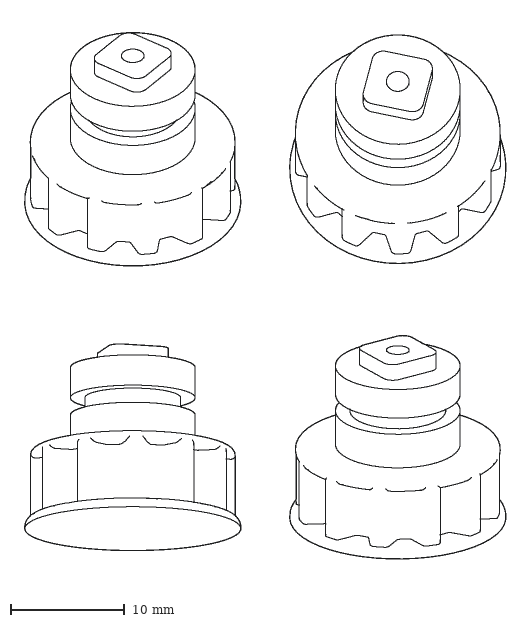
import cadquery as cq
import math

flange_radius = 9.5
flange_height = 0.93
flange_round = 0.76

grip_radius = 9.0
grip_top = 7.01
rim_height = 0.91
rim_round = 0.45

flute_count = 12
flute_floor_radius = 7.18
flute_floor_width = 1.14
flute_wall_angle = 30.0
flute_floor_round = 0.27
flute_mouth_round = 0.4
flute_top = grip_top - rim_height

collar_radius = 5.5
groove_radius = 4.22
groove_bottom = 10.2
groove_top = 11.75
collar_top = 14.45

total_height = 15.95
drive_side = 5.4
drive_corner_round = 0.99
hole_diameter = 2.0
hole_depth = 2 * hole_diameter

tolerance = 0.002


def cylinder(radius, bottom, top):
    """Upright cylinder on the Z axis between two heights."""
    return cq.Workplane("XY").workplane(offset=bottom).circle(radius).extrude(top - bottom)


def make_flute():
    """Cutter for the flute on the +X side, reaching past the grip surface."""
    mouth_radius = flange_radius
    floor_half = flute_floor_width / 2
    flare = (mouth_radius - flute_floor_radius) * math.tan(math.radians(flute_wall_angle))
    mouth_half = floor_half + flare
    outline = [
        (flute_floor_radius, -floor_half),
        (mouth_radius, -mouth_half),
        (mouth_radius, mouth_half),
        (flute_floor_radius, floor_half),
    ]
    cutter = cq.Workplane("XY").polyline(outline).close().extrude(flute_top)
    return cutter.edges("|Z and <X").fillet(flute_floor_round)


def is_mouth_edge(edge):
    """True for upright rib corners and for the arcs along the flute roofs."""
    middle = edge.positionAt(0.5)
    on_surface = abs(math.hypot(middle.x, middle.y) - grip_radius) < tolerance
    return on_surface and tolerance < middle.z < flute_top + tolerance


def make_grip():
    """Fluted cylinder with rounded flute mouths and a rounded top rim."""
    grip = cylinder(grip_radius, 0, grip_top)
    flute = make_flute()
    for index in range(flute_count):
        grip = grip.cut(flute.rotate((0, 0, 0), (0, 0, 1), index * 360 / flute_count))

    mouth_edges = [edge for edge in grip.edges().vals() if is_mouth_edge(edge)]
    grip = grip.newObject(mouth_edges).fillet(flute_mouth_round)
    return grip.faces(">Z").edges().fillet(rim_round)


def make_flange():
    """Flat disc with a rounded upper edge."""
    return cylinder(flange_radius, 0, flange_height).faces(">Z").edges().fillet(flange_round)


def make_neck():
    """Grooved neck, started inside the grip so that the two fuse."""
    lower_collar = cylinder(collar_radius, flange_height, groove_bottom)
    core = cylinder(groove_radius, flange_height, groove_top)
    upper_collar = cylinder(collar_radius, groove_top, collar_top)
    return lower_collar.union(core).union(upper_collar)


def make_drive():
    """Square drive with rounded upright corners."""
    drive = cq.Workplane("XY").workplane(offset=collar_top).rect(drive_side, drive_side)
    return drive.extrude(total_height - collar_top).edges("|Z").fillet(drive_corner_round)


hole = cylinder(hole_diameter / 2, total_height - hole_depth, total_height)
result = make_flange().union(make_grip()).union(make_neck()).union(make_drive()).cut(hole)